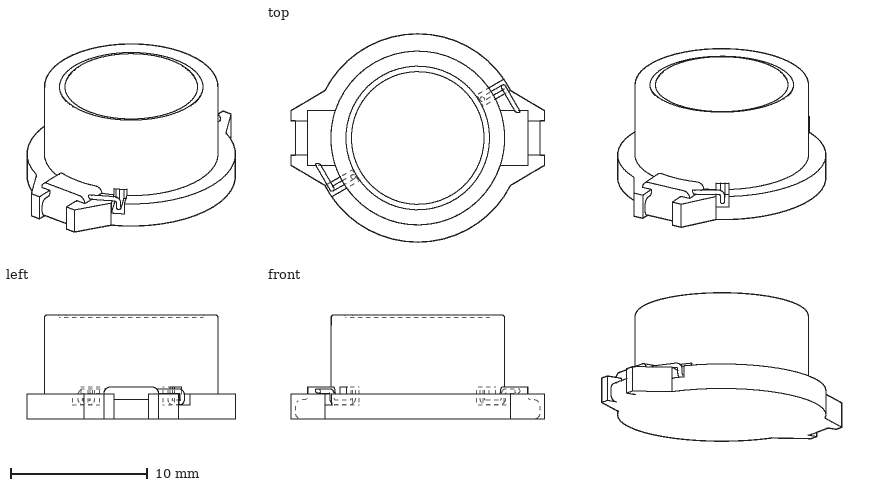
import cadquery as cq
import math

PLATE_DIAMETER = 15.24
PLATE_THICKNESS = 1.85
LENGTH = 18.54
EAR_TIP_WIDTH = 4.0
EAR_TAPER_ANGLE = 30.6
SLOT_WIDTH = 2.5

HEIGHT = 7.62
BODY_DIAMETER = 12.7
BODY_EDGE_RADIUS = 0.2

GROOVE_OUTER_DIAMETER = 10.5
GROOVE_INNER_DIAMETER = 9.7
GROOVE_EDGE_RADIUS = 0.2

STRIP_REACH = 8.94
STRIP_HEIGHT = 1.42
STRIP_EDGE_RADIUS = 0.46
STRIP_ROOT_RADIUS = 0.22
BLOCK_REACH = 8.04
BLOCK_WIDTH = 4.0
BLOCK_TOP = 2.35
BLOCK_EDGE_RADIUS = BLOCK_TOP - PLATE_THICKNESS

WIRE_DIAMETER = 0.32
WIRE_BEND_RADIUS = 0.3
WIRE_UPPER_Z = 2.05
WIRE_LOWER_Z = 1.22
WIRE_DIRECTION = 210
WIRE_OFFSET = 0.1
WIRE_CORNER_DISTANCE = 7.29
WIRE_TERMINAL_LENGTH = 2.4
WIRE_RISER_DISTANCE = 5.5
WIRE_RISER_TOP = 2.5
CHANNEL_WIDTH = 0.95
CHANNEL_FLOOR = 1.02
CHANNEL_TOP = BLOCK_TOP
CHANNEL_INNER_DISTANCE = 5.3


def turned(shape):
    """The same shape, turned half a revolution about Z."""
    return shape.rotate((0, 0, 0), (0, 0, 1), 180)


def make_plate():
    tip_x = LENGTH / 2
    tip_y = EAR_TIP_WIDTH / 2
    middle_y = tip_y + tip_x * math.tan(math.radians(EAR_TAPER_ANGLE))
    ears = (
        cq.Workplane("XY")
        .polyline([
            (tip_x, -tip_y),
            (tip_x, tip_y),
            (0, middle_y),
            (-tip_x, tip_y),
            (-tip_x, -tip_y),
            (0, -middle_y),
        ])
        .close()
        .extrude(PLATE_THICKNESS)
    )
    slots = cq.Workplane("XY").box(
        LENGTH, SLOT_WIDTH, PLATE_THICKNESS, centered=(True, True, False)
    )
    disc = cq.Workplane("XY").circle(PLATE_DIAMETER / 2).extrude(PLATE_THICKNESS)
    return ears.cut(slots).union(disc)


def make_body():
    body = cq.Workplane("XY").circle(BODY_DIAMETER / 2).extrude(HEIGHT)
    return body.faces(">Z").edges().fillet(BODY_EDGE_RADIUS)


def make_groove():
    """Ring with a flat floor, both of its top edges rounded over down to the floor."""
    outer = GROOVE_OUTER_DIAMETER / 2
    inner = GROOVE_INNER_DIAMETER / 2
    edge = GROOVE_EDGE_RADIUS
    floor_z = HEIGHT - edge
    return (
        cq.Workplane("XZ")
        .moveTo(inner, floor_z)
        .lineTo(outer, floor_z)
        .radiusArc((outer + edge, HEIGHT), edge)
        .lineTo(inner - edge, HEIGHT)
        .radiusArc((inner, floor_z), edge)
        .close()
        .revolve(360, (0, 0, 0), (0, 1, 0))
    )


def make_terminal():
    """Terminal on the -X side; block and strip both run inward to the Z axis."""
    half_width = BLOCK_WIDTH / 2
    flat_half_width = half_width - BLOCK_EDGE_RADIUS
    block = (
        cq.Workplane("YZ", origin=(-BLOCK_REACH, 0, 0))
        .moveTo(-half_width, PLATE_THICKNESS)
        .radiusArc((-flat_half_width, BLOCK_TOP), BLOCK_EDGE_RADIUS)
        .lineTo(flat_half_width, BLOCK_TOP)
        .radiusArc((half_width, PLATE_THICKNESS), BLOCK_EDGE_RADIUS)
        .close()
        .extrude(BLOCK_REACH)
    )
    root_x = -BLOCK_REACH
    edge_x = -STRIP_REACH
    strip = (
        cq.Workplane("XZ", origin=(0, SLOT_WIDTH / 2, 0))
        .moveTo(0, 0)
        .lineTo(edge_x + STRIP_EDGE_RADIUS, 0)
        .radiusArc((edge_x, STRIP_EDGE_RADIUS), STRIP_EDGE_RADIUS)
        .lineTo(edge_x, STRIP_HEIGHT - STRIP_EDGE_RADIUS)
        .radiusArc((edge_x + STRIP_EDGE_RADIUS, STRIP_HEIGHT), STRIP_EDGE_RADIUS)
        .lineTo(root_x - STRIP_ROOT_RADIUS, STRIP_HEIGHT)
        .radiusArc((root_x, STRIP_HEIGHT + STRIP_ROOT_RADIUS), -STRIP_ROOT_RADIUS)
        .lineTo(root_x, PLATE_THICKNESS)
        .lineTo(0, PLATE_THICKNESS)
        .close()
        .extrude(SLOT_WIDTH)
    )
    return block.union(strip)


def place_along_wire(shape):
    """Turn a shape built with outward along +X to the wire direction."""
    return shape.rotate((0, 0, 0), (0, 0, 1), WIRE_DIRECTION)


def make_channel():
    length = LENGTH / 2 - CHANNEL_INNER_DISTANCE
    channel = (
        cq.Workplane("XY")
        .box(length, CHANNEL_WIDTH, CHANNEL_TOP - CHANNEL_FLOOR, centered=(False, True, False))
        .translate((CHANNEL_INNER_DISTANCE, WIRE_OFFSET, CHANNEL_FLOOR))
    )
    return place_along_wire(channel)


def make_wire():
    """Wire from the terminal, down into the channel, along it and up into the body."""
    riser = WIRE_RISER_DISTANCE
    corner = WIRE_CORNER_DISTANCE
    bend = WIRE_BEND_RADIUS
    half_bend = bend * (1 - math.sqrt(0.5))
    side = WIRE_OFFSET
    terminal_end = cq.Vector(corner, side - WIRE_TERMINAL_LENGTH, WIRE_UPPER_Z)
    upper_bend = [
        cq.Vector(corner, side - bend, WIRE_UPPER_Z),
        cq.Vector(corner, side - half_bend, WIRE_UPPER_Z - half_bend),
        cq.Vector(corner, side, WIRE_UPPER_Z - bend),
    ]
    lower_bend = [
        cq.Vector(corner, side, WIRE_LOWER_Z + bend),
        cq.Vector(corner - half_bend, side, WIRE_LOWER_Z + half_bend),
        cq.Vector(corner - bend, side, WIRE_LOWER_Z),
    ]
    riser_bend = [
        cq.Vector(riser + bend, side, WIRE_LOWER_Z),
        cq.Vector(riser + half_bend, side, WIRE_LOWER_Z + half_bend),
        cq.Vector(riser, side, WIRE_LOWER_Z + bend),
    ]
    body_end = cq.Vector(riser, side, WIRE_RISER_TOP)
    path = cq.Wire.assembleEdges([
        cq.Edge.makeLine(terminal_end, upper_bend[0]),
        cq.Edge.makeThreePointArc(*upper_bend),
        cq.Edge.makeLine(upper_bend[-1], lower_bend[0]),
        cq.Edge.makeThreePointArc(*lower_bend),
        cq.Edge.makeLine(lower_bend[-1], riser_bend[0]),
        cq.Edge.makeThreePointArc(*riser_bend),
        cq.Edge.makeLine(riser_bend[-1], body_end),
    ])
    section = cq.Workplane("XZ", origin=terminal_end.toTuple()).circle(WIRE_DIAMETER / 2)
    return place_along_wire(section.sweep(path))


result = make_plate().union(make_body()).cut(make_groove())
terminal = make_terminal()
channel = make_channel()
wire = make_wire()
result = result.union(terminal).union(turned(terminal))
result = result.cut(channel).cut(turned(channel))
result = result.union(wire).union(turned(wire))